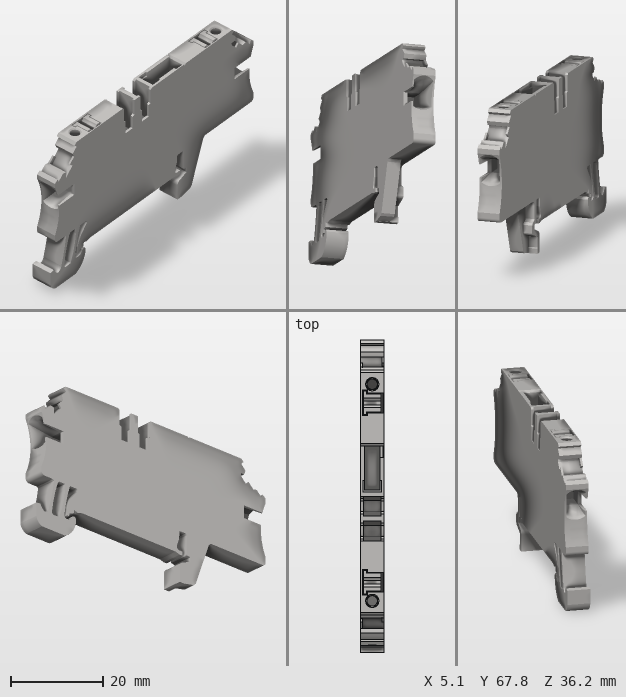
import cadquery as cq
import math


THICKNESS = 5.1
HEIGHT = 36.15
HALF_LENGTH = 33.13
HALF_THICKNESS = THICKNESS / 2
BODY_BOTTOM = 12.5
RAIL_PLANE = 7.12
HOOK_END_Y = -34.7
BOTH_ENDS = (1, -1)
EDGE_RADIUS = 0.9

END_ARC_TOP = 27.7
END_ARC_BOTTOM = 14.6
END_WAIST_Y = 31.7
END_WAIST_Z = (END_ARC_TOP + END_ARC_BOTTOM) / 2

SLOPE_TOP = (26.75, 32.6)
SLOPE_BOTTOM = (29.45, 29.9)
MARKER_DEPTH = 1.1
MARKER_WALL = 0.45
MARKER_UNDERCUT = 0.2
MARKER_UNDERCUT_RISE = 0.5

SLOT_CENTERS_Y = (-2.96, -8.35)
SLOT_WIDTH = 3.44
SLOT_LOWER_WIDTH = 2.35
SLOT_STEP_Z = 32.2
SLOT_FLOOR_Z = 28.8
SLOT_LEAD_IN = 0.4
WELL_HALF_X = 1.95
WELL_WIDTH = 4.3
WELL_BEVEL = 0.95
WELL_STEEP_BEVEL_HEIGHT = 0.55
WELL_FLAT_BEVEL_HEIGHT = 0.17
WELL_FLOOR_Z = 26.55

POCKET_HALF_X = 1.7
POCKET_Y = (0.58, 10.1)
POCKET_LEAD_IN = 0.5
POCKET_FRONT_REBATE = (-2.05, 2.05, 0.1, 2.6)
POCKET_BACK_REBATE = (-1.5, 2.3, 7.6, 10.1)
REBATE_DEPTH = 1.0

TEST_HOLE_Y = 23.5
TEST_HOLE_DIAMETER = 2.3
TEST_HOLE_RIM_DIAMETER = 2.85
TEST_HOLE_RIM_DEPTH = (TEST_HOLE_RIM_DIAMETER - TEST_HOLE_DIAMETER) / 2
TEST_HOLE_DEPTH = 6.0
TEST_FLOOR_ANGLE = 30.0

BUTTON_Y = 19.45
BUTTON_DEPTH = 8.0
BUTTON_CLEARANCE = 0.2
BUTTON_LEFT_X = -1.95
BUTTON_STEP_X = -1.2
BUTTON_RIGHT_X = 1.85
BUTTON_WIDTH = 3.9
BUTTON_FLANGE_WIDTH = 5.1
SHAFT_RIGHT_X = 2.35
GROOVE_WIDTH = 2.05
GROOVE_DEPTH = 0.7
BLADE_SLOT_WIDTH = 0.85
BLADE_SLOT_DEPTH = 1.6

FUNNEL_HALF_X = 2.3
FUNNEL_Z = (19.8, 27.6)
FUNNEL_CROWN = 0.9
FUNNEL_DEPTH = 5.0
WIRE_HOLE_X = (-1.3, 1.7)
WIRE_HOLE_Z = (22.05, 25.1)
WIRE_HOLE_DEPTH = 4.0

WEB_LEFT_X = -0.5


def side_sketch(x=-HALF_THICKNESS):
    """Workplane parallel to YZ whose extrusions run towards +X."""
    return cq.Workplane("YZ", origin=(x, 0, 0))


def plate(points, left_x=-HALF_THICKNESS, right_x=HALF_THICKNESS):
    return side_sketch(left_x).polyline(points).close().extrude(right_x - left_x)


def box(x_range, y_range, z_range):
    size = [high - low for low, high in (x_range, y_range, z_range)]
    corner = (x_range[0], y_range[0], z_range[0])
    return cq.Workplane("XY").box(*size, centered=False).translate(corner)


def mirrored_in_y(shape, end):
    return shape if end > 0 else shape.mirror("XZ")


def upper_body():
    corner = [
        (26.0, HEIGHT),
        (26.6, 35.5),
        (25.9, 34.9),
        (27.2, 33.6),
        SLOPE_TOP,
        SLOPE_BOTTOM,
        (30.5, 30.1),
        (31.85, 28.8),
        (32.3, 29.55),
        (HALF_LENGTH, 28.85),
        (HALF_LENGTH, END_ARC_TOP),
    ]
    opposite = [(-y, z) for y, z in reversed(corner)]
    body = (
        side_sketch()
        .polyline(corner)
        .threePointArc((END_WAIST_Y, END_WAIST_Z), (HALF_LENGTH, END_ARC_BOTTOM))
        .lineTo(HALF_LENGTH, BODY_BOTTOM)
        .lineTo(-HALF_LENGTH, BODY_BOTTOM)
        .lineTo(-HALF_LENGTH, END_ARC_BOTTOM)
        .threePointArc((-END_WAIST_Y, END_WAIST_Z), opposite[0])
    )
    for point in opposite[1:]:
        body = body.lineTo(*point)
    body = body.close().extrude(THICKNESS)
    for end in BOTH_ENDS:
        lower_edge = cq.selectors.NearestToPointSelector((0, end * HALF_LENGTH, BODY_BOTTOM))
        body = body.edges(lower_edge).fillet(EDGE_RADIUS)
    return body


def rail_block():
    return (
        side_sketch()
        .moveTo(7.68, BODY_BOTTOM)
        .lineTo(7.51, 10.46)
        .lineTo(6.9, 8.76)
        .threePointArc((7.0, 8.1), (7.6, 7.8))
        .lineTo(8.6, 7.8)
        .lineTo(8.6, 6.85)
        .lineTo(7.7, 6.78)
        .lineTo(6.5, RAIL_PLANE)
        .lineTo(-21.1, RAIL_PLANE)
        .lineTo(-22.5, 6.78)
        .lineTo(-23.5, RAIL_PLANE)
        .lineTo(-23.66, 6.2)
        .lineTo(-24.86, 5.86)
        .lineTo(-25.0, 5.11)
        .lineTo(-25.6, 5.11)
        .lineTo(-25.54, 7.05)
        .threePointArc((-24.75, 9.1), (-23.5, 10.7))
        .lineTo(-22.6, 11.8)
        .threePointArc((-22.5, 12.25), (-22.8, BODY_BOTTOM))
        .close()
        .extrude(THICKNESS)
    )


def fixed_foot():
    rib = (
        side_sketch()
        .moveTo(9.5, BODY_BOTTOM)
        .lineTo(12.1, BODY_BOTTOM)
        .threePointArc((11.3, 12.15), (10.99, 11.3))
        .lineTo(10.99, 8.42)
        .threePointArc((11.3, 8.05), (11.94, 7.85))
        .lineTo(12.45, 7.3)
        .lineTo(12.45, 5.52)
        .threePointArc((12.25, 5.2), (11.77, 5.0))
        .lineTo(8.94, 3.99)
        .lineTo(8.94, 1.6)
        .lineTo(9.22, 1.4)
        .lineTo(9.22, 0.24)
        .lineTo(7.75, 0.24)
        .lineTo(7.75, 4.16)
        .threePointArc((7.95, 4.75), (8.53, 5.15))
        .lineTo(10.41, 5.93)
        .lineTo(10.85, 5.93)
        .lineTo(10.85, 7.2)
        .lineTo(9.9, 7.35)
        .lineTo(9.8, 7.5)
        .lineTo(9.8, 12.2)
        .close()
        .extrude(THICKNESS)
    )
    web = plate(
        [
            (16.8, BODY_BOTTOM),
            (16.3, 11.9),
            (12.45, 1.3),
            (11.9, 0.82),
            (9.0, 0.24),
            (8.8, 4.0),
            (12.0, 5.4),
            (10.7, 7.5),
            (10.7, BODY_BOTTOM),
        ],
        left_x=WEB_LEFT_X,
    )
    return rib.union(web)


def hook_foot():
    hook = (
        side_sketch()
        .moveTo(-24.75, BODY_BOTTOM)
        .threePointArc((-25.6, 9.4), (-26.4, 5.0))
        .threePointArc((-26.2, 4.5), (-25.7, 4.26))
        .threePointArc((-24.7, 4.45), (-24.0, 5.35))
        .lineTo(-23.3, 5.55)
        .lineTo(-22.9, 5.0)
        .threePointArc((-24.0, 1.77), (-26.2, 0))
        .lineTo(-33.0, 0)
        .threePointArc((-34.1, 0.75), (HOOK_END_Y, 1.94))
        .lineTo(HOOK_END_Y, 5.2)
        .lineTo(-33.5, 5.35)
        .threePointArc((-33.05, 4.55), (-32.35, 3.88))
        .threePointArc((-31.5, 4.1), (-31.0, 5.0))
        .threePointArc((-30.1, 8.5), (-29.45, 12.2))
        .lineTo(-29.75, BODY_BOTTOM)
        .close()
        .extrude(THICKNESS)
    )
    window = (
        side_sketch()
        .moveTo(-26.2, BODY_BOTTOM)
        .lineTo(-26.15, 11.1)
        .threePointArc((-26.85, 7.05), (-27.9, 3.98))
        .lineTo(-29.5, 3.88)
        .threePointArc((-29.9, 4.1), (-30.05, 4.6))
        .threePointArc((-29.4, 8.42), (-28.4, 11.9))
        .lineTo(-28.0, BODY_BOTTOM)
        .close()
        .extrude(THICKNESS)
    )
    return hook.cut(window)


def jumper_slot(center_y):
    """Stepped slot through the full thickness, with a wider bevelled well between the side walls."""
    upper = SLOT_WIDTH / 2
    lower = SLOT_LOWER_WIDTH / 2
    step_bottom = SLOT_STEP_Z - (upper - lower) / 2
    positive_half = [
        (upper, HEIGHT),
        (upper, SLOT_STEP_Z),
        (lower, step_bottom),
        (lower, SLOT_FLOOR_Z),
    ]
    negative_half = [(-y, z) for y, z in reversed(positive_half)]
    slot = plate([(center_y + y, z) for y, z in positive_half + negative_half])
    well_half = WELL_WIDTH / 2
    floor_half = well_half - WELL_BEVEL
    well = [
        (well_half, HEIGHT),
        (well_half, WELL_FLOOR_Z + WELL_STEEP_BEVEL_HEIGHT),
        (floor_half, WELL_FLOOR_Z),
        (-floor_half, WELL_FLOOR_Z),
        (-well_half, WELL_FLOOR_Z + WELL_FLAT_BEVEL_HEIGHT),
        (-well_half, HEIGHT),
    ]
    return slot.union(plate([(center_y + y, z) for y, z in well], -WELL_HALF_X, WELL_HALF_X))


def slot_lead_in(edge_y, direction):
    """Chamfer on the outer top edge of the row of jumper slots."""
    return plate(
        [
            (edge_y, HEIGHT - SLOT_LEAD_IN),
            (edge_y, HEIGHT),
            (edge_y + direction * SLOT_LEAD_IN, HEIGHT),
        ]
    )


def bridge_pocket():
    pocket = box((-POCKET_HALF_X, POCKET_HALF_X), POCKET_Y, (SLOT_FLOOR_Z, HEIGHT))
    for x_from, x_to, y_from, y_to in (POCKET_FRONT_REBATE, POCKET_BACK_REBATE):
        rebate = box((x_from, x_to), (y_from, y_to), (HEIGHT - REBATE_DEPTH, HEIGHT))
        pocket = pocket.union(rebate)
    back_y = POCKET_Y[1]
    lead_in = plate(
        [
            (back_y, HEIGHT),
            (back_y + POCKET_LEAD_IN, HEIGHT),
            (back_y, HEIGHT - POCKET_LEAD_IN),
        ]
    )
    return pocket.union(lead_in)


def test_hole(end):
    """Countersunk round hole whose floor is tilted towards the middle of the block."""
    radius = TEST_HOLE_DIAMETER / 2
    hole = cq.Workplane("XY", origin=(0, TEST_HOLE_Y, HEIGHT)).circle(radius).extrude(-TEST_HOLE_DEPTH)
    rise = TEST_HOLE_DIAMETER * math.tan(math.radians(TEST_FLOOR_ANGLE))
    floor_z = HEIGHT - TEST_HOLE_DEPTH
    floor = plate(
        [
            (TEST_HOLE_Y - radius, floor_z),
            (TEST_HOLE_Y + radius, floor_z),
            (TEST_HOLE_Y + radius, floor_z + rise),
        ]
    )
    rim = (
        cq.Workplane("XY", origin=(0, TEST_HOLE_Y, HEIGHT))
        .circle(TEST_HOLE_RIM_DIAMETER / 2)
        .workplane(offset=-TEST_HOLE_RIM_DEPTH)
        .circle(radius)
        .loft()
    )
    return mirrored_in_y(hole.cut(floor).union(rim), end)


def marker_recess(end):
    """Recess in the slope, walled on one side in its upper half and on the other in its lower half.

    The two ends are half-turn copies about Z.
    """
    top_y, top_z = SLOPE_TOP
    bottom_y, bottom_z = SLOPE_BOTTOM
    drop = MARKER_DEPTH * math.sqrt(2)
    mid_y = (top_y + bottom_y) / 2
    mid_z = (top_z + bottom_z) / 2
    inset = drop / 2
    upper_half = [
        (top_y, top_z),
        (mid_y, mid_z),
        (mid_y - inset, mid_z - inset),
        (top_y - inset, top_z - inset),
        (top_y - inset - MARKER_UNDERCUT, top_z - inset + MARKER_UNDERCUT_RISE),
        (top_y - inset - MARKER_UNDERCUT, top_z),
    ]
    lower_half = [
        (mid_y, mid_z),
        (bottom_y, bottom_z),
        (bottom_y, bottom_z - drop),
        (mid_y - inset, mid_z - inset),
    ]
    wall_x = HALF_THICKNESS - MARKER_WALL
    recess = plate(lower_half, right_x=wall_x).union(plate(upper_half, left_x=-wall_x))
    return recess if end > 0 else recess.rotate((0, 0, 0), (0, 0, 1), 180)


def wire_entry(end):
    """Funnel with rounded top and bottom leading to a square hole, open to +X over the hole's height."""
    low, high = FUNNEL_Z
    funnel_end_y = END_WAIST_Y - FUNNEL_DEPTH
    mouth = (
        cq.Workplane("XZ", origin=(0, HALF_LENGTH, 0))
        .moveTo(-FUNNEL_HALF_X, low + FUNNEL_CROWN)
        .threePointArc((0, low), (FUNNEL_HALF_X, low + FUNNEL_CROWN))
        .lineTo(FUNNEL_HALF_X, high - FUNNEL_CROWN)
        .threePointArc((0, high), (-FUNNEL_HALF_X, high - FUNNEL_CROWN))
        .close()
    )
    left, right = WIRE_HOLE_X
    bottom, top = WIRE_HOLE_Z
    throat = (
        cq.Workplane("XZ", origin=(0, funnel_end_y, 0))
        .moveTo(left, bottom)
        .lineTo(right, bottom)
        .lineTo(right, top)
        .lineTo(left, top)
        .close()
    )
    funnel = cq.Workplane(cq.Solid.makeLoft([mouth.val(), throat.val()], True))
    hole = box(WIRE_HOLE_X, (funnel_end_y - WIRE_HOLE_DEPTH, funnel_end_y), WIRE_HOLE_Z)
    side_opening = box((0, HALF_THICKNESS), (funnel_end_y, HALF_LENGTH), WIRE_HOLE_Z)
    return mirrored_in_y(funnel.union(hole).union(side_opening), end)


def button_prism(clearance, right_x):
    """T-shaped prism sunk from the top face: a wide flange at -X with a narrower stem."""
    z_range = (HEIGHT - BUTTON_DEPTH, HEIGHT)
    flange_half = BUTTON_FLANGE_WIDTH / 2 + clearance
    stem_half = BUTTON_WIDTH / 2 + clearance
    left_x = BUTTON_LEFT_X - clearance
    flange = box(
        (left_x, BUTTON_STEP_X + clearance),
        (BUTTON_Y - flange_half, BUTTON_Y + flange_half),
        z_range,
    )
    stem = box((left_x, right_x), (BUTTON_Y - stem_half, BUTTON_Y + stem_half), z_range)
    return flange.union(stem)


def button_shaft(end):
    return mirrored_in_y(button_prism(BUTTON_CLEARANCE, SHAFT_RIGHT_X), end)


def push_button(end):
    """Button with a hollow across its top and a blade slot at the bottom of the hollow."""
    hollow = (
        side_sketch()
        .moveTo(BUTTON_Y - GROOVE_WIDTH / 2, HEIGHT)
        .threePointArc((BUTTON_Y, HEIGHT - GROOVE_DEPTH), (BUTTON_Y + GROOVE_WIDTH / 2, HEIGHT))
        .close()
        .extrude(THICKNESS)
    )
    blade_slot = box(
        (-HALF_THICKNESS, HALF_THICKNESS),
        (BUTTON_Y - BLADE_SLOT_WIDTH / 2, BUTTON_Y + BLADE_SLOT_WIDTH / 2),
        (HEIGHT - BLADE_SLOT_DEPTH, HEIGHT),
    )
    button = button_prism(0, BUTTON_RIGHT_X).cut(hollow).cut(blade_slot)
    return mirrored_in_y(button, end)


housing = upper_body().union(rail_block()).union(fixed_foot()).union(hook_foot())
for slot_y in SLOT_CENTERS_Y:
    housing = housing.cut(jumper_slot(slot_y))
housing = housing.cut(slot_lead_in(max(SLOT_CENTERS_Y) + SLOT_WIDTH / 2, 1))
housing = housing.cut(slot_lead_in(min(SLOT_CENTERS_Y) - SLOT_WIDTH / 2, -1))
housing = housing.cut(bridge_pocket())
for end_side in BOTH_ENDS:
    for cutter in (test_hole, marker_recess, wire_entry, button_shaft):
        housing = housing.cut(cutter(end_side))

push_buttons = [push_button(end_side).solids().val() for end_side in BOTH_ENDS]

result = cq.Compound.makeCompound([housing.solids().val(), *push_buttons])